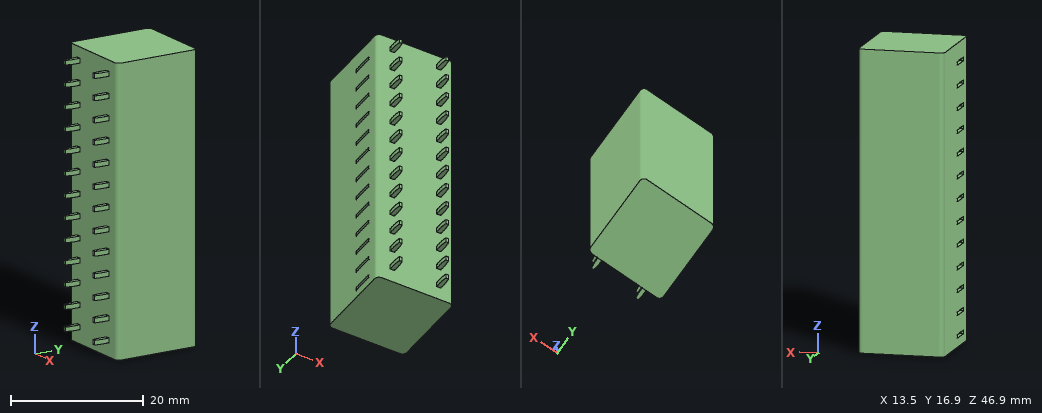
import cadquery as cq

body_width = 13.5
overall_depth = 16.9
body_height = 46.9
corner_radius = 0.8

pin_length = 2.5
pin_size = 0.75
pin_tip_width = 0.45
pin_taper_length = 1.0
pin_column_spacing = 8.2
pin_count = 13
top_pin_inset = 2.15
bottom_pin_inset = 2.65

slot_length = 3.7
slot_height = 0.5
slot_depth = 0.85
slot_front_inset = 2.55
slot_drop = 1.0

body_depth = overall_depth - pin_length
left_x = -body_width / 2
pin_pitch = (body_height - top_pin_inset - bottom_pin_inset) / (pin_count - 1)


def make_body():
    """Block with rounded vertical edges; its front face lies on Y = 0."""
    block = cq.Workplane("XY").box(body_width, body_depth, body_height, centered=(True, False, False))
    return block.edges("|Z").fillet(corner_radius)


def make_pin(x, z):
    """Pin pointing to -Y whose two sides taper in X towards the tip."""
    half_width = pin_size / 2
    half_tip = pin_tip_width / 2
    taper_start_y = pin_taper_length - pin_length
    outline = [
        (x - half_width, 0),
        (x - half_width, taper_start_y),
        (x - half_tip, -pin_length),
        (x + half_tip, -pin_length),
        (x + half_width, taper_start_y),
        (x + half_width, 0),
    ]
    return cq.Workplane("XY", origin=(0, 0, z - pin_size / 2)).polyline(outline).close().extrude(pin_size)


def make_slot(z):
    """Wedge cutter with a level floor and a roof that slopes down to it inside the body."""
    floor_z = z - slot_height / 2
    profile = [
        (left_x, floor_z),
        (left_x + slot_depth, floor_z),
        (left_x, floor_z + slot_height),
    ]
    wedge = cq.Workplane("XZ", origin=(0, slot_front_inset, 0)).polyline(profile).close()
    return wedge.extrude(-slot_length)


result = make_body()
for row in range(pin_count):
    row_z = bottom_pin_inset + row * pin_pitch
    for column_x in (-pin_column_spacing / 2, pin_column_spacing / 2):
        result = result.union(make_pin(column_x, row_z))
    result = result.cut(make_slot(row_z - slot_drop))